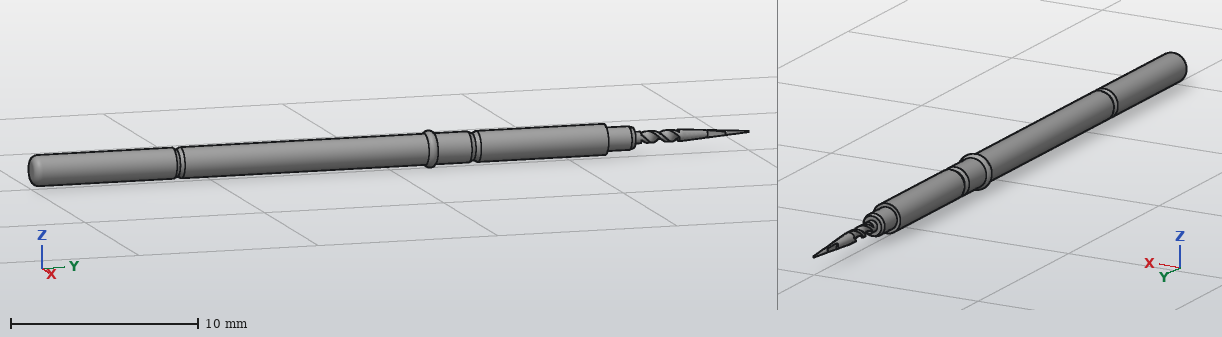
import cadquery as cq

length = 40
tip_y = length / 2

body_radius = 0.85
body_start = 8.05
tail_fillet = 0.4
collar_radius = 0.65
collar_start = 6.45
collar_chamfer_length = 0.25
collar_chamfer_depth = 0.1

ring_radius = 1.0
ring_center = 17.8
ring_bead_radius = 0.3
groove_depth = 0.1
front_groove_center = 15.4
front_groove_width = 0.5
rear_groove_center = 31.9
rear_groove_width = 0.45

tip_radius = 0.05
needle_radius = 0.3
taper_length = 3.75

tip_flats_start = 1.3
tip_flats_length = 1.0
tip_flats_thickness = 0.2
tip_flats_angle = -10
tip_flats_twist = 20
shank_flats_start = 3.9
shank_flats_length = 2.1
shank_flats_thickness = 0.3
shank_flats_angle = -73
shank_flats_twist = 353


def revolved(outline):
    """Revolve (radius, distance from tip) points around the Y axis."""
    points = [(radius, tip_y - distance) for radius, distance in outline]
    return cq.Workplane("XY").polyline(points).close().revolve(360, (0, 0), (0, 1))


def make_handle():
    collar = revolved([
        (0, collar_start),
        (collar_radius - collar_chamfer_depth, collar_start),
        (collar_radius, collar_start + collar_chamfer_length),
        (collar_radius, body_start),
        (0, body_start),
    ])
    body = (
        cq.Workplane("XZ", origin=(0, tip_y - body_start, 0))
        .circle(body_radius)
        .extrude(length - body_start)
        .faces("<Y").edges().fillet(tail_fillet)
    )
    return body.union(collar)


def make_ring():
    """A round bead, partly sunk into the handle."""
    bead_offset = ring_radius - ring_bead_radius
    return (
        cq.Workplane("XY")
        .center(bead_offset, tip_y - ring_center)
        .circle(ring_bead_radius)
        .revolve(360, (-bead_offset, 0), (-bead_offset, 1))
    )


def groove_cutter(center, width):
    return revolved([
        (body_radius, center - width / 2),
        (body_radius - groove_depth, center),
        (body_radius, center + width / 2),
    ])


def make_needle():
    return revolved([
        (0, 0),
        (tip_radius, 0),
        (needle_radius, taper_length),
        (needle_radius, body_start),
        (0, body_start),
    ])


def flats_cutter(start, flats_length, thickness, angle, twist):
    """Two blocks, one on each side of the axis, twisted along it."""
    block_height = 2 * needle_radius
    block_center = (thickness + block_height) / 2
    return (
        cq.Workplane("XZ", origin=(0, tip_y - start, 0))
        .pushPoints([(-block_center, 0), (block_center, 0)])
        .rect(block_height, 2 * block_height)
        .twistExtrude(flats_length, twist)
        .rotate((0, 0, 0), (0, -1, 0), angle)
    )


needle = make_needle()
needle = needle.cut(flats_cutter(
    tip_flats_start, tip_flats_length, tip_flats_thickness, tip_flats_angle, tip_flats_twist))
needle = needle.cut(flats_cutter(
    shank_flats_start, shank_flats_length, shank_flats_thickness, shank_flats_angle, shank_flats_twist))

result = make_handle().union(make_ring()).union(needle)
result = result.cut(groove_cutter(front_groove_center, front_groove_width))
result = result.cut(groove_cutter(rear_groove_center, rear_groove_width))